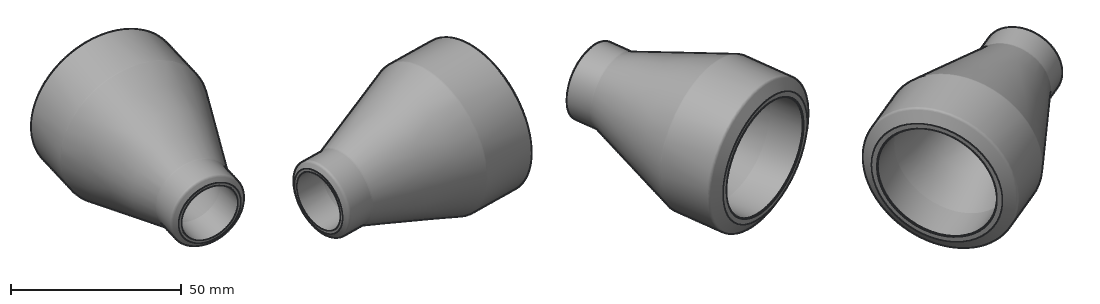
import cadquery as cq
import math

length = 64.0
large_radius = 50.0 / 2
small_radius = large_radius / 2
large_bore_radius = 38.0 / 2
small_bore_radius = 19.0 / 2
cone_start = 20.0
cone_end = 54.0
bore_cone_start = 12.0

large_land = 2.0
small_land = 1.0
bevel_angle = 60.0
edge_radius = 1.0
mouth_chamfer = 0.25

large_face_radius = large_bore_radius + large_land
small_face_radius = small_bore_radius + small_land
bevel_slope = math.tan(math.radians(bevel_angle))
large_bevel_length = (large_radius - large_face_radius) / bevel_slope
small_bevel_length = (small_radius - small_face_radius) / bevel_slope


def revolve_about_x(points):
    """Revolve a closed outline of (x, radius) points about the X axis."""
    return cq.Workplane("XY").polyline(points).close().revolve(360, (0, 0, 0), (1, 0, 0))


def edge_at(x, radius):
    """Select the circular edge of the given radius, centred on the axis at x."""
    margin = 0.05
    reach = radius + margin
    return cq.selectors.BoxSelector(
        (x - margin, -reach, -reach), (x + margin, reach, reach), boundingbox=True
    )


body = revolve_about_x([
    (0, 0),
    (0, large_face_radius),
    (large_bevel_length, large_radius),
    (cone_start, large_radius),
    (cone_end, small_radius),
    (length - small_bevel_length, small_radius),
    (length, small_face_radius),
    (length, 0),
])

outer_edges = [
    (large_bevel_length, large_radius),
    (cone_start, large_radius),
    (cone_end, small_radius),
    (length - small_bevel_length, small_radius),
]
for x, radius in outer_edges:
    body = body.edges(edge_at(x, radius)).fillet(edge_radius)

bore = revolve_about_x([
    (0, 0),
    (0, large_bore_radius + mouth_chamfer),
    (mouth_chamfer, large_bore_radius),
    (bore_cone_start, large_bore_radius),
    (cone_end, small_bore_radius),
    (length, small_bore_radius),
    (length, 0),
])

result = body.cut(bore)